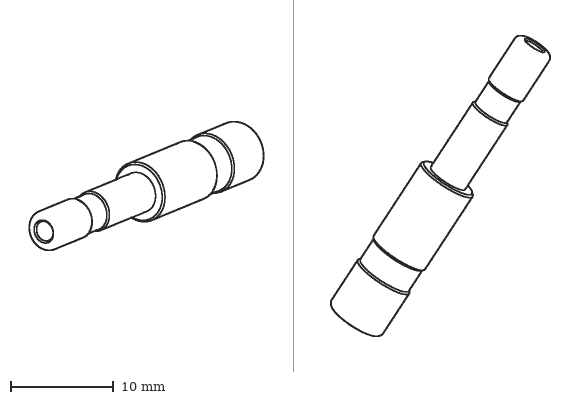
import cadquery as cq

length = 33.0
thick_radius = 3.0
thin_radius = 2.0
shoulder_position = 15.9
shoulder_chamfer = 0.2
end_rounding = 0.53
bore_radius = 1.0
bore_chamfer = 0.15

groove_inset = 5.28
groove_width = 2.9
groove_depth = 0.15
groove_wall_run = 0.2


def cylinder(start, end, radius):
    """Solid cylinder on the Y axis between two positions."""
    return cq.Workplane("XZ", origin=(0, start, 0)).circle(radius).extrude(start - end)


def groove(start, radius):
    """Ring with sloping walls that is cut from a section of the given radius."""
    end = start + groove_width
    floor = radius - groove_depth
    outside = radius + groove_depth
    profile = [
        (outside, start),
        (radius, start),
        (floor, start + groove_wall_run),
        (floor, end - groove_wall_run),
        (radius, end),
        (outside, end),
    ]
    return cq.Workplane("XY").polyline(profile).close().revolve(360, (0, 0), (0, 1))


thick_section = (
    cylinder(shoulder_position, length, thick_radius)
    .faces(">Y").edges().fillet(end_rounding)
    .faces("<Y").edges().chamfer(shoulder_chamfer)
)

thin_section = (
    cylinder(0, shoulder_position, thin_radius)
    .faces("<Y").edges().fillet(end_rounding)
)

pin = thick_section.union(thin_section)

pin = pin.cut(groove(groove_inset, thin_radius))
pin = pin.cut(groove(length - groove_inset - groove_width, thick_radius))

pin = pin.cut(cylinder(0, length, bore_radius))
bore_mouths = pin.faces("<Y or >Y").edges(cq.selectors.RadiusNthSelector(0))
pin = bore_mouths.chamfer(bore_chamfer)

result = pin.translate((0, -length / 2, 0))